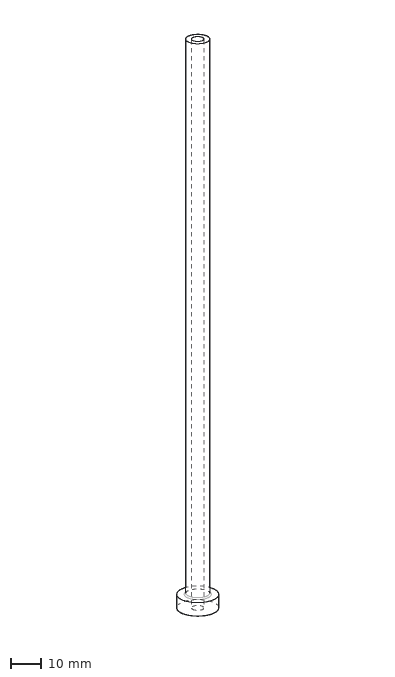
import cadquery as cq

total_length = 205.0
head_diameter = 14.0
head_height = 5.0
shaft_diameter = 8.0
bore_diameter = 4.0
neck_fillet = 0.5

head_radius = head_diameter / 2
shaft_radius = shaft_diameter / 2
bore_radius = bore_diameter / 2

half_section = (
    cq.Workplane("XZ")
    .moveTo(bore_radius, 0)
    .lineTo(head_radius, 0)
    .lineTo(head_radius, head_height)
    .lineTo(shaft_radius + neck_fillet, head_height)
    .radiusArc((shaft_radius, head_height + neck_fillet), neck_fillet)
    .lineTo(shaft_radius, total_length)
    .lineTo(bore_radius, total_length)
    .close()
)

result = half_section.revolve(360, (0, 0, 0), (0, 1, 0))